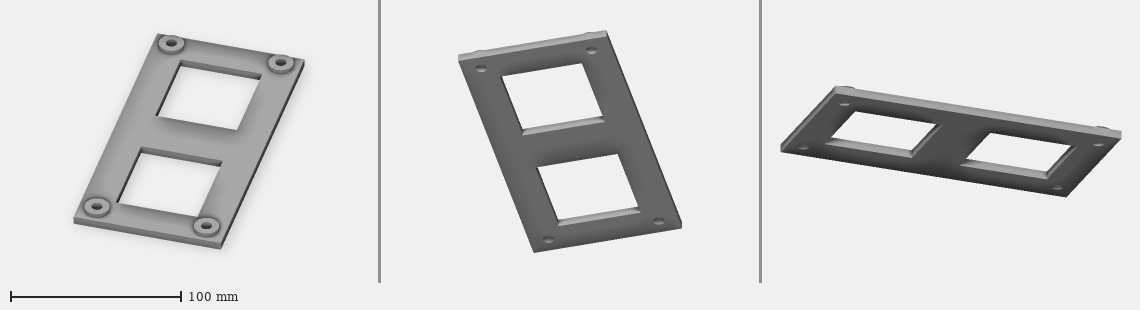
import cadquery as cq

plate_width = 90.0
plate_length = 180.0
total_height = 8.0
plate_thickness = 5.0
boss_height = total_height - plate_thickness

window_margin = 20.0
window_gap = 30.0
window_width = plate_width - 2 * window_margin
window_length = (plate_length - 2 * window_margin - window_gap) / 2
window_pitch = window_length + window_gap

boss_diameter = 15.0
hole_diameter = 6.7
boss_spacing_x = 67.0
boss_spacing_y = 160.0

plate = cq.Workplane("XY").box(
    plate_width, plate_length, plate_thickness, centered=(True, True, False)
)

windows = (
    cq.Workplane("XY")
    .rarray(1.8, window_pitch, 1, 2)
    .rect(window_width, window_length)
    .extrude(plate_thickness)
)


def corner_cylinders(diameter, bottom, height):
    """Upright cylinders at the four boss positions."""
    return (
        cq.Workplane("XY")
        .workplane(offset=bottom)
        .rarray(boss_spacing_x, boss_spacing_y, 2, 2)
        .circle(diameter / 2)
        .extrude(height)
    )


bosses = corner_cylinders(boss_diameter, plate_thickness, boss_height)
holes = corner_cylinders(hole_diameter, 0, total_height)

result = plate.cut(windows).union(bosses).cut(holes)